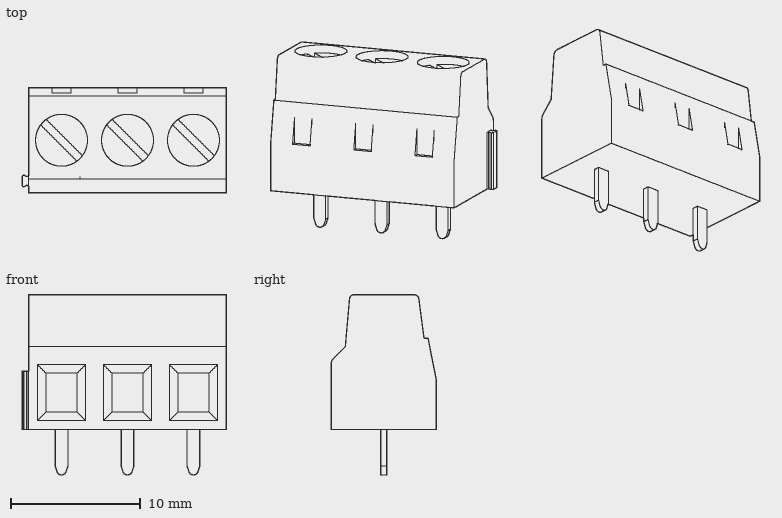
import cadquery as cq
import math


pole_count = 3
pitch = 5.08
housing_length = pole_count * pitch
housing_depth = 8.1
housing_height = 10.4
pole_centres = [(pole + 0.5) * pitch for pole in range(pole_count)]

entry_corner_height = 5.3
entry_slope_run = 1.08
entry_slope_top = entry_corner_height + entry_slope_run
front_lean = 5
back_wall_height = 3.85
shelf_height = 7.04
shelf_outer_y = 7.47
shelf_inner_y = 7.16
back_lean = 7.5
top_edge_radius = 0.4
entry_edge_radius = 0.5
shelf_root_radius = 0.06

entry_width = 3.7
entry_bottom = 0.7
entry_height = 4.3
entry_depth = 1.8
entry_inset = 0.65
entry_middle = entry_bottom + entry_height / 2

notch_width = 1.44
notch_depth = 0.4

screw_diameter = 4.0
screw_y = 4.05
screw_recess = 0.62
screw_height = 1.5
slot_width = 0.6
slot_depth = 0.6
slot_angle = -45

pin_y = screw_y
pin_width = 1.0
pin_thickness = 0.5
pin_length = 3.5
pin_straight_length = 2.81
pin_taper_length = 3.23
pin_tip_width = 0.72

rail_y = 0.92
rail_height = 4.5
rail_projection = 0.5
rail_root_half = 0.41
rail_neck_half = 0.345
rail_head_half = 0.46
rail_face_half = 0.36
rail_neck_start = 0.1
rail_neck_end = 0.15
rail_head_start = 0.36
rail_head_end = 0.4


def housing_block():
    front_top_y = entry_slope_run + (housing_height - entry_slope_top) * math.tan(math.radians(front_lean))
    back_top_y = shelf_inner_y - (housing_height - shelf_height) * math.tan(math.radians(back_lean))
    block = (
        cq.Workplane("YZ")
        .moveTo(0, 0)
        .lineTo(housing_depth, 0)
        .lineTo(housing_depth, back_wall_height)
        .lineTo(shelf_outer_y, shelf_height)
        .lineTo(shelf_inner_y, shelf_height)
        .lineTo(back_top_y, housing_height)
        .lineTo(front_top_y, housing_height)
        .lineTo(entry_slope_run, entry_slope_top)
        .lineTo(0, entry_corner_height)
        .close()
        .extrude(housing_length)
    )
    middle_x = housing_length / 2
    block = block.faces(">Z").edges("|X").fillet(top_edge_radius)
    entry_corner = cq.selectors.NearestToPointSelector((middle_x, 0, entry_corner_height))
    block = block.edges(entry_corner).fillet(entry_edge_radius)
    shelf_root = cq.selectors.NearestToPointSelector((middle_x, shelf_inner_y, shelf_height))
    return block.edges(shelf_root).fillet(shelf_root_radius)


def wire_entry(x):
    return (
        cq.Workplane("XZ")
        .center(x, entry_middle)
        .rect(entry_width, entry_height)
        .workplane(offset=-entry_depth)
        .rect(entry_width - 2 * entry_inset, entry_height - 2 * entry_inset)
        .loft(ruled=True)
    )


def back_notch(x):
    return (
        cq.Workplane("XY", origin=(x, housing_depth - notch_depth / 2, back_wall_height))
        .rect(notch_width, notch_depth)
        .extrude(shelf_height - back_wall_height)
    )


def screw_well(x):
    return (
        cq.Workplane("XY", origin=(x, screw_y, housing_height))
        .circle(screw_diameter / 2)
        .extrude(-(screw_recess + screw_height))
    )


def interlock_rail():
    half = [
        (0, rail_root_half),
        (rail_neck_start, rail_neck_half),
        (rail_neck_end, rail_neck_half),
        (rail_head_start, rail_head_half),
        (rail_head_end, rail_head_half),
        (rail_projection, rail_face_half),
    ]
    back_side = [(-out, rail_y + width) for out, width in half]
    front_side = [(-out, rail_y - width) for out, width in reversed(half)]
    return cq.Workplane("XY").polyline(back_side + front_side).close().extrude(rail_height)


def make_housing():
    housing = housing_block().union(interlock_rail())
    for x in pole_centres:
        housing = housing.cut(wire_entry(x)).cut(back_notch(x)).cut(screw_well(x))
    return housing


def make_screw(x):
    top = housing_height - screw_recess
    body = cq.Workplane("XY", origin=(x, screw_y, top)).circle(screw_diameter / 2).extrude(-screw_height)
    slot = (
        cq.Workplane("XY", origin=(x, screw_y, top))
        .transformed(rotate=(0, 0, slot_angle))
        .rect(2 * screw_diameter, slot_width)
        .extrude(-slot_depth)
    )
    return body.cut(slot)


def make_pin(x):
    return (
        cq.Workplane("XZ", origin=(x, pin_y, 0))
        .moveTo(-pin_width / 2, 0)
        .lineTo(-pin_width / 2, -pin_straight_length)
        .lineTo(-pin_tip_width / 2, -pin_taper_length)
        .threePointArc((0, -pin_length), (pin_tip_width / 2, -pin_taper_length))
        .lineTo(pin_width / 2, -pin_straight_length)
        .lineTo(pin_width / 2, 0)
        .close()
        .extrude(pin_thickness / 2, both=True)
    )


housing = make_housing()
screws = [make_screw(x) for x in pole_centres]
pins = [make_pin(x) for x in pole_centres]

result = cq.Compound.makeCompound(
    [
        housing.solids().val(),
        *[screw.solids().val() for screw in screws],
        *[pin.solids().val() for pin in pins],
    ]
)